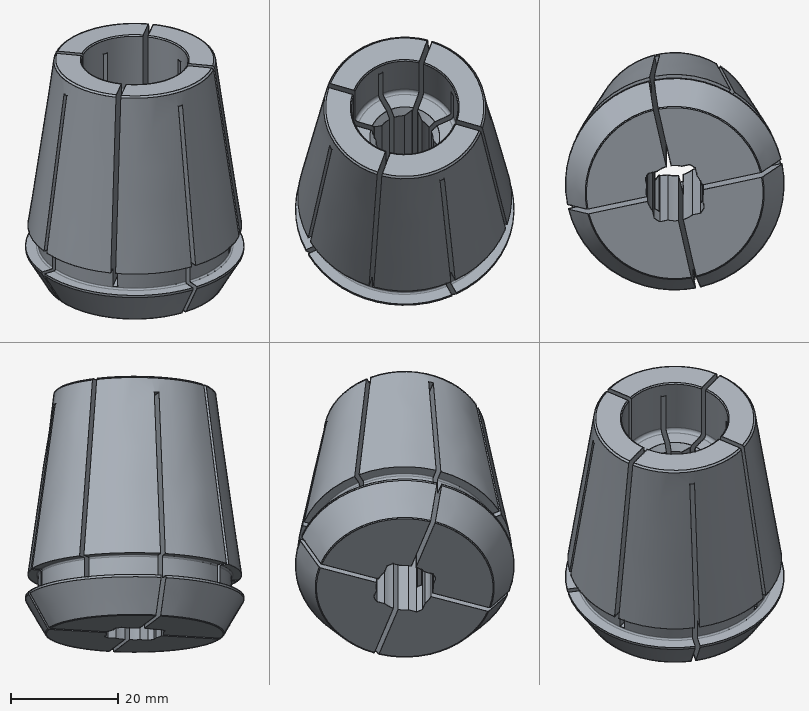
import cadquery as cq
import math

length = 46.0
flange_diameter = 40.8
flange_radius = flange_diameter / 2

nose_angle = 30.0
nose_height = 6.55
flange_top = 7.0
groove_radius = 18.05
groove_corner_radius = 0.3
body_bottom = 11.22
body_radius = 19.95
body_angle = 8.0
end_chamfer = 0.3
nose_edge_chamfer = 0.15

bore_radius = 9.95
bore_floor = 34.3
bore_floor_fillet = 0.75
bore_mouth_chamfer = 0.25
hole_radius = 5.35
lead_in_radius = 6.55
lead_in_depth = lead_in_radius - hole_radius
square_side = 9.55
square_corner_reach = 6.15

slit_width = 0.9
upper_slit_floor = 7.45
lower_slit_top = 42.95

nose_radius = flange_radius - nose_height * math.tan(math.radians(nose_angle))
top_radius = body_radius - (length - body_bottom) * math.tan(math.radians(body_angle))


def make_body():
    """Revolve the nose, flange, groove and tapered body."""
    corner = groove_corner_radius
    chamfer_bottom_radius = top_radius + end_chamfer * math.tan(math.radians(body_angle))
    nose_edge_radius = nose_radius + nose_edge_chamfer * math.tan(math.radians(nose_angle))
    profile = (
        cq.Workplane("XZ")
        .lineTo(nose_radius - nose_edge_chamfer, 0)
        .lineTo(nose_edge_radius, nose_edge_chamfer)
        .lineTo(flange_radius, nose_height)
        .lineTo(flange_radius, flange_top)
        .lineTo(groove_radius + corner, flange_top)
        .radiusArc((groove_radius, flange_top + corner), corner)
        .lineTo(groove_radius, body_bottom - corner)
        .radiusArc((groove_radius + corner, body_bottom), corner)
        .lineTo(body_radius, body_bottom)
        .lineTo(chamfer_bottom_radius, length - end_chamfer)
        .lineTo(top_radius - end_chamfer, length)
        .lineTo(0, length)
        .close()
    )
    return profile.revolve(360, (0, 0, 0), (0, 1, 0))


def make_opening():
    """Revolve the stepped bore and add the square hole with its corners trimmed round."""
    stepped_bore = (
        cq.Workplane("XZ")
        .lineTo(hole_radius, 0)
        .lineTo(hole_radius, bore_floor - lead_in_depth)
        .lineTo(lead_in_radius, bore_floor)
        .lineTo(bore_radius - bore_floor_fillet, bore_floor)
        .radiusArc((bore_radius, bore_floor + bore_floor_fillet), -bore_floor_fillet)
        .lineTo(bore_radius, length - bore_mouth_chamfer)
        .lineTo(bore_radius + bore_mouth_chamfer, length)
        .lineTo(0, length)
        .close()
        .revolve(360, (0, 0, 0), (0, 1, 0))
    )
    square_hole = cq.Workplane("XY").rect(square_side, square_side).extrude(bore_floor)
    corner_limit = cq.Workplane("XY").circle(square_corner_reach).extrude(bore_floor)
    return stepped_bore.union(square_hole.intersect(corner_limit))


def make_slit_pair(first_angle, bottom, top):
    """Two crossing slits through the full diameter, between two heights."""
    slit = (
        cq.Workplane("XY", origin=(0, 0, bottom))
        .rect(flange_diameter + slit_width, slit_width)
        .extrude(top - bottom)
        .rotate((0, 0, 0), (0, 0, 1), first_angle)
    )
    return slit.union(slit.rotate((0, 0, 0), (0, 0, 1), 90))


lower_slits = make_slit_pair(0, 0, lower_slit_top)
upper_slits = make_slit_pair(45, upper_slit_floor, length)

result = make_body().cut(make_opening()).cut(lower_slits).cut(upper_slits)